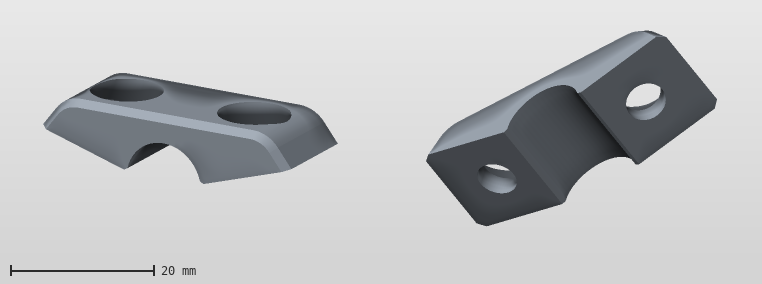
import cadquery as cq
import math

length = 40.0
width = 15.0
height = 8.9

tip_height = 4.15
end_angle = 52.0
shoulder_radius = 5.0
foot_tip_x = 6.4
foot_nose_x = 5.85
edge_chamfer = 1.0

saddle_radius = 6.0
saddle_top = 4.9

hole_diameter = 5.7
counterbore_diameter = 10.0
seat_thickness = 3.0
hole_exit_x = 12.4
cutter_length = 16.0
cutter_overrun = 2.0

half_length = length / 2
foot_slope = tip_height / (half_length - foot_tip_x)
foot_angle = math.atan(foot_slope)
saddle_center_z = saddle_top - saddle_radius
foot_nose_z = saddle_center_z + math.sqrt(saddle_radius**2 - foot_nose_x**2)
top_corner_x = half_length - (height - tip_height) / math.tan(math.radians(end_angle))


def make_blank():
    """Extrude the solid outline, round the shoulders and bevel the upper side edges."""
    blank = (
        cq.Workplane("XZ")
        .moveTo(-foot_tip_x, 0)
        .lineTo(-half_length, tip_height)
        .lineTo(-top_corner_x, height)
        .lineTo(top_corner_x, height)
        .lineTo(half_length, tip_height)
        .lineTo(foot_tip_x, 0)
        .close()
        .extrude(width / 2, both=True)
    )
    top_corners = blank.faces(">Z").edges("|Y")
    blank = blank.newObject(top_corners.vals()).fillet(shoulder_radius)
    return blank.faces(">Z").edges("|X").chamfer(edge_chamfer)


def make_saddle():
    """Cutter for the saddle and the blunt inner corners of the feet."""
    return (
        cq.Workplane("XZ")
        .moveTo(-foot_tip_x, 0)
        .lineTo(-foot_nose_x, foot_nose_z)
        .threePointArc((0, saddle_top), (foot_nose_x, foot_nose_z))
        .lineTo(foot_tip_x, 0)
        .close()
        .extrude(width, both=True)
    )


def make_screw_hole(side):
    """Cutter for one counterbored hole; side is -1 or +1 along X."""
    exit_z = (hole_exit_x - foot_tip_x) * foot_slope
    foot_plane = cq.Plane(
        origin=(side * hole_exit_x, 0, exit_z),
        xDir=(0, 1, 0),
        normal=(-side * math.sin(foot_angle), 0, math.cos(foot_angle)),
    )
    through = (
        cq.Workplane(foot_plane)
        .workplane(offset=-cutter_overrun)
        .circle(hole_diameter / 2)
        .extrude(cutter_length)
    )
    counterbore = (
        cq.Workplane(foot_plane)
        .workplane(offset=seat_thickness)
        .circle(counterbore_diameter / 2)
        .extrude(cutter_length)
    )
    return through.union(counterbore)


result = make_blank().cut(make_saddle())
for side in (-1, 1):
    result = result.cut(make_screw_hole(side))